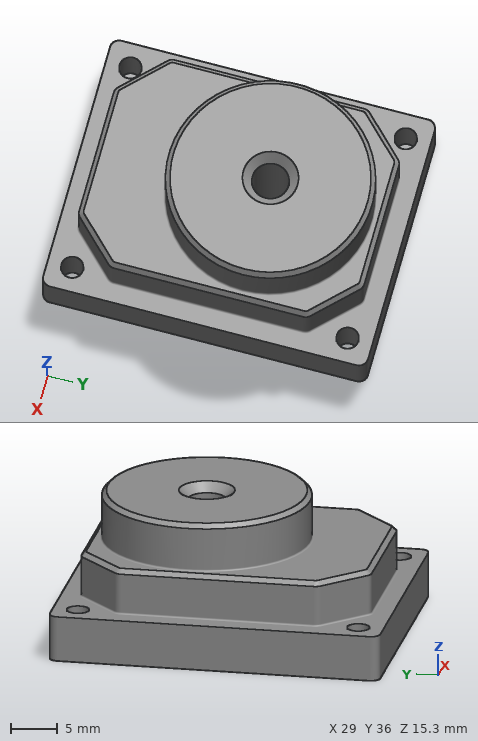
import cadquery as cq

plate_width = 29.0
plate_length = 36
plate_height = 5.0
corner_radius = 1.0
screw_hole_diameter = 2.4
screw_hole_inset = 2.75

tier_width = 24.6
tier_length = 31.6
tier_height = 5.0
tier_corner_cut = 4.9

total_height = 15.3
boss_diameter = 22.5
boss_offset_y = 3.5
bore_diameter = 4.0
countersink_diameter = 6.0
countersink_angle = 90

top_chamfer = 0.5
root_fillet = 0.2

tier_top = plate_height + tier_height
boss_height = total_height - tier_top


def make_plate():
    """Rounded rectangular plate resting on Z = 0."""
    plate = cq.Workplane("XY").rect(plate_width, plate_length).extrude(plate_height)
    return plate.edges("|Z").fillet(corner_radius)


def make_tier():
    """Block with 45 degree corners, softened vertical edges and a chamfered top."""
    block = cq.Workplane("XY", origin=(0, 0, plate_height)).rect(tier_width, tier_length).extrude(tier_height)
    block = block.edges("|Z").chamfer(tier_corner_cut)
    block = block.edges("|Z").fillet(corner_radius)
    return block.faces(">Z").edges().chamfer(top_chamfer)


def make_boss():
    """Disc with a chamfered top rim."""
    disc = cq.Workplane("XY", origin=(0, boss_offset_y, tier_top)).circle(boss_diameter / 2).extrude(boss_height)
    return disc.faces(">Z").edges().chamfer(top_chamfer)


def fillet_root(body, root_z, half_width, half_length, centre_y=0):
    """Fillet the inner corner at height root_z, within the given half sizes of its outline."""
    margin = root_fillet / 2
    selector = cq.selectors.BoxSelector(
        (-half_width - margin, centre_y - half_length - margin, root_z - margin),
        (half_width + margin, centre_y + half_length + margin, root_z + margin),
        boundingbox=True,
    )
    return body.edges(selector).fillet(root_fillet)


body = make_plate().union(make_tier())
body = fillet_root(body, plate_height, tier_width / 2, tier_length / 2)
body = body.union(make_boss())
body = fillet_root(body, tier_top, boss_diameter / 2, boss_diameter / 2, boss_offset_y)

screw_spacing_x = plate_width - 2 * screw_hole_inset
screw_spacing_y = plate_length - 2 * screw_hole_inset
screw_holes = (
    cq.Workplane("XY")
    .rect(screw_spacing_x, screw_spacing_y, forConstruction=True)
    .vertices()
    .circle(screw_hole_diameter / 2)
    .extrude(plate_height)
)
body = body.cut(screw_holes)

result = (
    body.faces(">Z")
    .workplane(origin=(0, boss_offset_y, total_height))
    .cskHole(bore_diameter, countersink_diameter, countersink_angle)
)